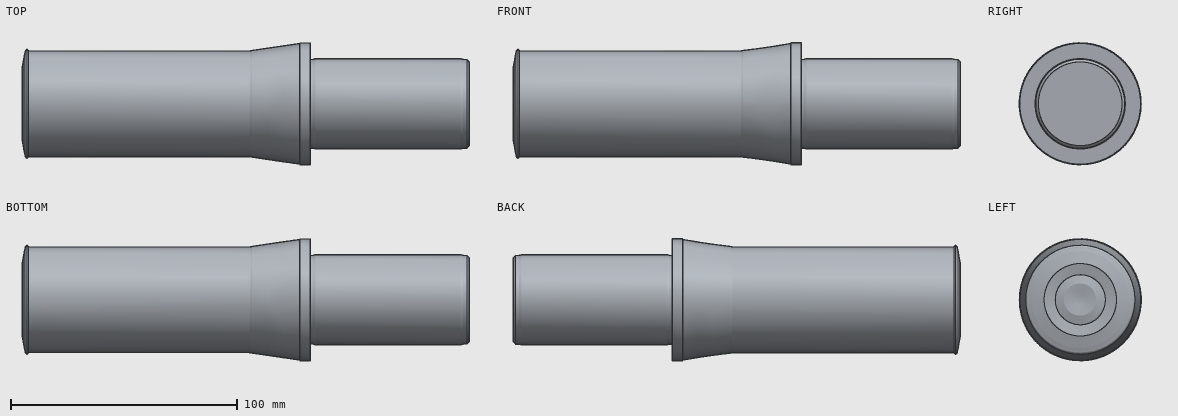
import cadquery as cq

total_length = 198.0
face_edge_station = 1.0
rim_start = 1.4
rim_widest = 2.2
head_length = 3.0
neck_start = 100.5
neck_width = 1.2
collar_start = 122.8
collar_end = 127.7

head_radius = 24.2
barrel_radius = 47.0 / 2
collar_radius = 54.0 / 2
shank_radius = 40.0 / 2
relief_radius = 39.5 / 2

inner_crest_radius = 7.1
valley_radius = 11.0
outer_crest_radius = 16.0
face_edge_radius = 21.4
rim_start_radius = 23.0
face_dip = 0.8

rim_bulge = 0.3
neck_rise = 0.2
neck_sag = 0.05
collar_chamfer = 0.3
shank_relief_length = 1.0
end_band_length = 1.5
relief_taper_length = 1.2
end_chamfer = 1.2


def revolve_about_x(profile):
    """Turn a closed half profile, drawn as (x, radius), about the X axis."""
    return profile.close().revolve(360, (0, 0, 0), (1, 0, 0))


def make_cutting_head():
    """Thin cutting disc with a W-shaped face and a rounded, overhanging rim."""
    rim_mid = (
        (rim_start + rim_widest) / 2 - rim_bulge / 2,
        (rim_start_radius + head_radius) / 2 + rim_bulge / 2,
    )
    profile = (
        cq.Workplane("XY")
        .moveTo(head_length, 0)
        .lineTo(face_dip, 0)
        .lineTo(0, inner_crest_radius)
        .lineTo(face_dip, valley_radius)
        .lineTo(0, outer_crest_radius)
        .lineTo(face_edge_station, face_edge_radius)
        .lineTo(rim_start, rim_start_radius)
        .threePointArc(rim_mid, (rim_widest, head_radius))
        .lineTo(head_length, barrel_radius)
    )
    return revolve_about_x(profile)


def make_holder():
    """Barrel, flared collar and clamping shank turned as one body."""
    neck_end = neck_start + neck_width
    neck_end_radius = barrel_radius + neck_rise
    neck_mid = (
        (neck_start + neck_end) / 2,
        (barrel_radius + neck_end_radius) / 2 - neck_sag,
    )
    relief_end = collar_end + shank_relief_length
    chamfer_start = total_length - end_chamfer
    band_start = chamfer_start - end_band_length
    profile = (
        cq.Workplane("XY")
        .moveTo(head_length, 0)
        .lineTo(head_length, barrel_radius)
        .lineTo(neck_start, barrel_radius)
        .threePointArc(neck_mid, (neck_end, neck_end_radius))
        .lineTo(collar_start, collar_radius - collar_chamfer)
        .lineTo(collar_start + collar_chamfer, collar_radius)
        .lineTo(collar_end - collar_chamfer, collar_radius)
        .lineTo(collar_end, collar_radius - collar_chamfer)
        .lineTo(collar_end, relief_radius)
        .lineTo(relief_end, relief_radius)
        .lineTo(relief_end + relief_taper_length, shank_radius)
        .lineTo(band_start - relief_taper_length, shank_radius)
        .lineTo(band_start, relief_radius)
        .lineTo(chamfer_start, relief_radius)
        .lineTo(total_length, relief_radius - end_chamfer)
        .lineTo(total_length, 0)
    )
    return revolve_about_x(profile)


cutting_head = make_cutting_head()
holder = make_holder()
result = cq.Compound.makeCompound([cutting_head.val(), holder.val()])